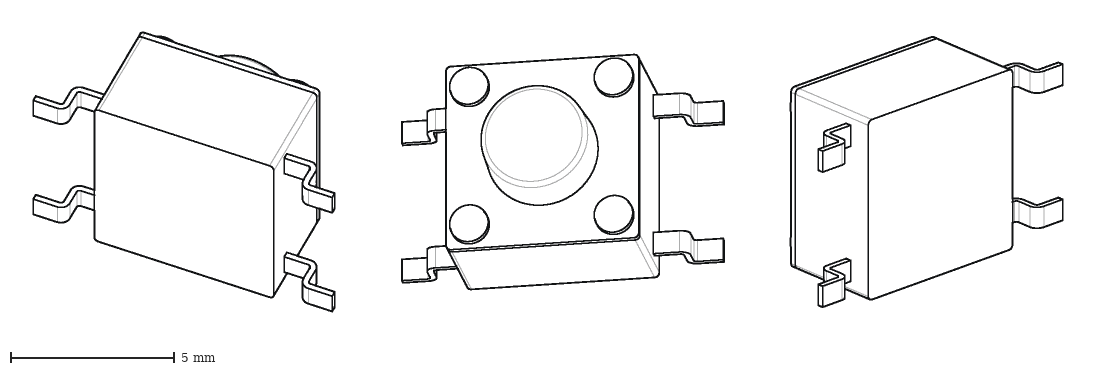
import cadquery as cq


body_side = 6.0
corner_radius = 0.15
housing_height = 3.3
cover_thickness = 0.2
cover_top = housing_height + cover_thickness

rivet_spacing = 4.5
rivet_radius = 0.6
rivet_rim_height = 0.2
rivet_dome_height = 0.2

button_projection = 1.5
button_height = cover_thickness + button_projection
button_base_radius = 1.75
button_top_radius = 1.65
button_edge_radius = 0.15

terminal_span = 10.0
terminal_spacing = 4.5
terminal_width = 0.7
terminal_thickness = 0.2
terminal_drop = 0.1
terminal_height = 1.1
riser_inner_x = 3.9
outer_bend_radius = 0.3
inner_bend_radius = outer_bend_radius - terminal_thickness


def square_block(base_y, height):
    """Square block with rounded upright edges, standing on the plane Y = base_y."""
    return (
        cq.Workplane("XZ", origin=(0, base_y, 0))
        .rect(body_side, body_side)
        .extrude(-height)
        .edges("|Y")
        .fillet(corner_radius)
    )


def make_housing():
    return square_block(0, housing_height)


def make_rivet_head(x, z):
    """Domed head: a short cylindrical rim capped by a spherical cap."""
    dome_radius = (rivet_radius**2 + rivet_dome_height**2) / (2 * rivet_dome_height)
    dome_centre_y = rivet_rim_height + rivet_dome_height - dome_radius
    mid_radius = rivet_radius / 2
    mid_y = dome_centre_y + (dome_radius**2 - mid_radius**2) ** 0.5
    return (
        cq.Workplane("ZY")
        .lineTo(rivet_radius, 0)
        .lineTo(rivet_radius, rivet_rim_height)
        .threePointArc((mid_radius, mid_y), (0, rivet_rim_height + rivet_dome_height))
        .close()
        .revolve(360, (0, 0, 0), (0, 1, 0))
        .translate((x, cover_top, z))
    )


def make_cover(button):
    """Cover plate with a rivet head near each corner and a hole that fits the button."""
    cover = square_block(housing_height, cover_thickness).cut(button)
    for side_x in (-1, 1):
        for side_z in (-1, 1):
            head = make_rivet_head(side_x * rivet_spacing / 2, side_z * rivet_spacing / 2)
            cover = cover.union(head)
    return cover


def make_button():
    """Slightly tapered round button with a rounded top edge, standing on the housing."""
    return (
        cq.Workplane("ZY", origin=(0, housing_height, 0))
        .lineTo(button_base_radius, 0)
        .lineTo(button_top_radius, button_height)
        .lineTo(0, button_height)
        .close()
        .revolve(360, (0, 0, 0), (0, 1, 0))
        .faces(">Y")
        .edges()
        .fillet(button_edge_radius)
    )


def make_terminal(side_x, z):
    """Gull-wing terminal strip, bent twice, from the housing wall (side_x is -1 or 1)."""
    wall_x = body_side / 2
    tip_x = terminal_span / 2
    riser_outer_x = riser_inner_x + terminal_thickness
    foot_bottom = -terminal_drop
    foot_top = foot_bottom + terminal_thickness
    arm_top = foot_bottom + terminal_height
    arm_bottom = arm_top - terminal_thickness
    strip = (
        cq.Workplane("XY", origin=(0, 0, -terminal_width / 2))
        .polyline([
            (wall_x, arm_top),
            (riser_outer_x, arm_top),
            (riser_outer_x, foot_top),
            (tip_x, foot_top),
            (tip_x, foot_bottom),
            (riser_inner_x, foot_bottom),
            (riser_inner_x, arm_bottom),
            (wall_x, arm_bottom),
        ])
        .close()
        .extrude(terminal_width)
    )
    outer_bends = [(riser_outer_x, arm_top), (riser_inner_x, foot_bottom)]
    inner_bends = [(riser_inner_x, arm_bottom), (riser_outer_x, foot_top)]
    for bends, radius in ((outer_bends, outer_bend_radius), (inner_bends, inner_bend_radius)):
        for x, y in bends:
            strip = strip.edges(cq.selectors.NearestToPointSelector((x, y, 0))).fillet(radius)
    if side_x < 0:
        strip = strip.mirror("YZ")
    return strip.translate((0, 0, z))


housing = make_housing()
button = make_button()
cover = make_cover(button)
terminals = [
    make_terminal(side_x, side_z * terminal_spacing / 2)
    for side_x in (-1, 1)
    for side_z in (-1, 1)
]

result = cq.Compound.makeCompound([
    housing.solids().val(),
    cover.solids().val(),
    button.solids().val(),
    *[terminal.solids().val() for terminal in terminals],
])